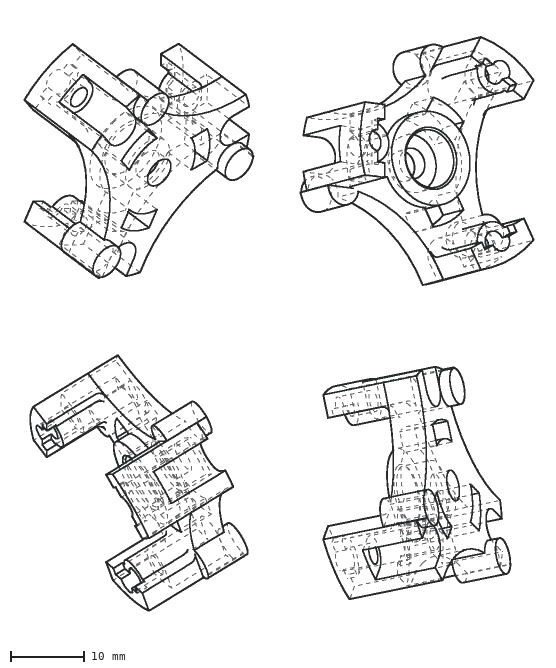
import cadquery as cq
import math

arm_count = 3
arm_step = 360 / arm_count

post_front = 1.53
slot_front = 5.03
hub_front = 6.95
plate_front = 9.0
plate_back = 13.92
lug_back = 15.5

outer_radius = 16.5
arm_half_width = 5.05
scallop_radius = 20.0
window_half_width = 2.9
window_outer_radius = 9.15

hub_radius = 6.5
bore_radius = 4.0
bore_depth = 4.5
bore_chamfer = 0.3
shaft_hole_radius = 2.1

leg_inner_y = 12.45
root_fillet = 1.0
post_y = 13.5
post_radius = 2.8
screw_hole_radius = 1.5
notch_half_width = 3.02
notch_outer_y = 13.55
head_slot_radius = 2.5

lug_radius = 2.5
lug_angle = 21.1

arm_corner_angle = math.degrees(math.asin(arm_half_width / outer_radius))
arm_corner_y = math.sqrt(outer_radius**2 - arm_half_width**2)
scallop_angle = math.radians(arm_step / 2 - arm_corner_angle)
scallop_half_chord = outer_radius * math.sin(scallop_angle)
scallop_chord_distance = outer_radius * math.cos(scallop_angle)
scallop_distance = scallop_chord_distance + math.sqrt(scallop_radius**2 - scallop_half_chord**2)
lug_distance = outer_radius - lug_radius


def polar(radius, degrees):
    """Point (y, z) at a radius and angle about the main axis."""
    angle = math.radians(degrees)
    return (radius * math.cos(angle), radius * math.sin(angle))


def turned(point, degrees):
    """Point (y, z) rotated about the main axis."""
    y, z = point
    return polar(math.hypot(y, z), math.degrees(math.atan2(z, y)) + degrees)


def section(x):
    """Workplane across the main axis: local x is Y, local y is Z."""
    return cq.Workplane("YZ", origin=(x, 0, 0))


def cylinder(radius, x_start, x_end, y=0, z=0):
    return section(x_start).center(y, z).circle(radius).extrude(x_end - x_start)


def block(x_start, x_end, y_start, y_end, half_width):
    size = (x_end - x_start, y_end - y_start, 2 * half_width)
    return cq.Workplane("XY").box(*size, centered=(False, False, True)).translate((x_start, y_start, 0))


def on_each_arm(solid):
    """Copies of a solid made for the +Y arm, one for every arm."""
    copies = solid
    for index in range(1, arm_count):
        copies = copies.union(solid.rotate((0, 0, 0), (1, 0, 0), index * arm_step))
    return copies


def make_plate():
    """Three arms with rounded ends, joined by concave edges between the arm corners."""
    start_corner = (arm_corner_y, -arm_half_width)
    end_corner = (arm_corner_y, arm_half_width)
    scallop_middle = polar(scallop_distance - scallop_radius, arm_step / 2)
    outline = section(plate_front).moveTo(*start_corner)
    for index in range(arm_count):
        angle = index * arm_step
        outline = outline.threePointArc(polar(outer_radius, angle), turned(end_corner, angle))
        outline = outline.threePointArc(turned(scallop_middle, angle),
                                        turned(start_corner, angle + arm_step))
    return outline.close().extrude(plate_back - plate_front)


def make_leg():
    """Leg in front of the plate, with a filleted root on its inner face."""
    fillet_start = plate_front - root_fillet
    fillet_foot_y = leg_inner_y - root_fillet
    fillet_middle = (fillet_start + root_fillet * math.sin(math.radians(45)),
                     fillet_foot_y + root_fillet * math.cos(math.radians(45)))
    profile = (
        cq.Workplane("XY", origin=(0, 0, -arm_half_width))
        .moveTo(0, outer_radius)
        .lineTo(0, leg_inner_y)
        .lineTo(fillet_start, leg_inner_y)
        .threePointArc(fillet_middle, (plate_front, fillet_foot_y))
        .lineTo(plate_front, outer_radius)
        .close()
    )
    leg = profile.extrude(2 * arm_half_width)
    return leg.intersect(cylinder(outer_radius, 0, plate_front))


def make_post():
    """Inner half of the screw post, flared where it meets the plate."""
    foot_y = post_y - post_radius - root_fillet
    post = (
        cq.Workplane("XY")
        .moveTo(post_front, post_y)
        .lineTo(post_front, post_y - post_radius)
        .lineTo(plate_front - root_fillet, post_y - post_radius)
        .radiusArc((plate_front, foot_y), root_fillet)
        .lineTo(plate_front, post_y)
        .close()
        .revolve(360, (0, post_y, 0), (1, post_y, 0))
    )
    return post.intersect(block(0, plate_front, 0, post_y, arm_half_width))


def make_lug():
    """Round lug beside the arm, running into the outer rim."""
    lug_y, lug_z = polar(lug_distance, -lug_angle)
    lug = cylinder(lug_radius, plate_front, lug_back, lug_y, lug_z)
    rim_fill = (
        section(plate_front)
        .moveTo(lug_y, lug_z)
        .lineTo(arm_corner_y, -arm_half_width)
        .threePointArc(turned((outer_radius, 0), -(lug_angle + arm_corner_angle) / 2),
                       polar(outer_radius, -lug_angle))
        .close()
        .extrude(lug_back - plate_front)
    )
    return lug.union(rim_fill)


def make_window():
    """Opening through the plate between the hub and the leg."""
    window = block(plate_front, plate_back, 0, outer_radius, window_half_width)
    window = window.intersect(cylinder(window_outer_radius, plate_front, plate_back))
    return window.cut(cylinder(hub_radius, plate_front, plate_back))


def make_screw_seat():
    """Screw hole, notch at the free end, and outward-open slot for the screw head."""
    hole = cylinder(screw_hole_radius, 0, plate_back, post_y)
    notch = block(0, post_front, 0, notch_outer_y, notch_half_width)
    head_slot = cylinder(head_slot_radius, slot_front, plate_back, post_y)
    slot_mouth = block(slot_front, plate_back, post_y, outer_radius, head_slot_radius)
    return hole.union(notch).union(head_slot).union(slot_mouth)


def make_hub_bore():
    """Chamfered blind bore with a smaller hole through its floor."""
    mouth_radius = bore_radius + bore_chamfer
    floor_x = hub_front + bore_depth
    return (
        cq.Workplane("XY")
        .moveTo(hub_front, 0)
        .lineTo(hub_front, mouth_radius)
        .lineTo(hub_front + bore_chamfer, bore_radius)
        .lineTo(floor_x, bore_radius)
        .lineTo(floor_x, shaft_hole_radius)
        .lineTo(plate_back, shaft_hole_radius)
        .lineTo(plate_back, 0)
        .close()
        .revolve(360, (0, 0, 0), (1, 0, 0))
    )


result = (
    make_plate()
    .union(cylinder(hub_radius, hub_front, plate_back))
    .union(on_each_arm(make_leg().union(make_post())))
    .union(on_each_arm(make_lug()))
    .cut(on_each_arm(make_window()))
    .cut(on_each_arm(make_screw_seat()))
    .cut(make_hub_bore())
)